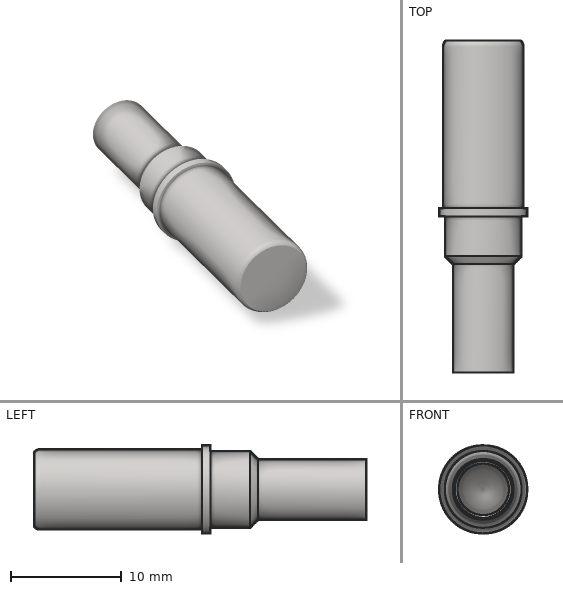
import cadquery as cq
import math

OVERALL_LENGTH = 30.07

BARREL_RADIUS = 2.75
BARREL_LENGTH = 9.8
SHOULDER_RADIUS = 3.48
FLANGE_RADIUS = 4.0
FLANGE_FRONT = 14.13
FLANGE_THICKNESS = 0.75

BORE_RADIUS = 2.33
BORE_DEPTH = 9.0
DRILL_POINT_ANGLE = 118.0
MOUTH_CHAMFER = 0.25

REAR_RADIUS = 3.65
REAR_ROUND_LENGTH = 0.58
REAR_ROUND_INSET = 0.29

TAPER_END = BARREL_LENGTH + (SHOULDER_RADIUS - BARREL_RADIUS)
FLANGE_BACK = FLANGE_FRONT + FLANGE_THICKNESS
REAR_ROUND_START = OVERALL_LENGTH - REAR_ROUND_LENGTH
DRILL_POINT_TIP = BORE_DEPTH + BORE_RADIUS / math.tan(math.radians(DRILL_POINT_ANGLE / 2))


def turn(profile):
    """Revolve a closed (radius, Y) profile a full turn about the Y axis."""
    return profile.close().revolve(360, (0, 0, 0), (0, 1, 0))


def make_contact():
    """Hollow crimp barrel that steps up through a taper to the flange."""
    profile = (
        cq.Workplane("XY")
        .moveTo(0, DRILL_POINT_TIP)
        .lineTo(BORE_RADIUS, BORE_DEPTH)
        .lineTo(BORE_RADIUS, MOUTH_CHAMFER)
        .lineTo(BORE_RADIUS + MOUTH_CHAMFER, 0)
        .lineTo(BARREL_RADIUS, 0)
        .lineTo(BARREL_RADIUS, BARREL_LENGTH)
        .lineTo(SHOULDER_RADIUS, TAPER_END)
        .lineTo(SHOULDER_RADIUS, FLANGE_FRONT)
        .lineTo(FLANGE_RADIUS, FLANGE_FRONT)
        .lineTo(FLANGE_RADIUS, FLANGE_BACK)
        .lineTo(0, FLANGE_BACK)
    )
    return turn(profile)


def make_rear_barrel():
    """Solid barrel seated on the back of the flange, with a rounded rear edge."""
    profile = (
        cq.Workplane("XY")
        .moveTo(0, FLANGE_BACK)
        .lineTo(REAR_RADIUS, FLANGE_BACK)
        .lineTo(REAR_RADIUS, REAR_ROUND_START)
        .tangentArcPoint((REAR_RADIUS - REAR_ROUND_INSET, OVERALL_LENGTH), relative=False)
        .lineTo(0, OVERALL_LENGTH)
    )
    return turn(profile)


contact = make_contact()
rear_barrel = make_rear_barrel()

result = cq.Compound.makeCompound([contact.val(), rear_barrel.val()])